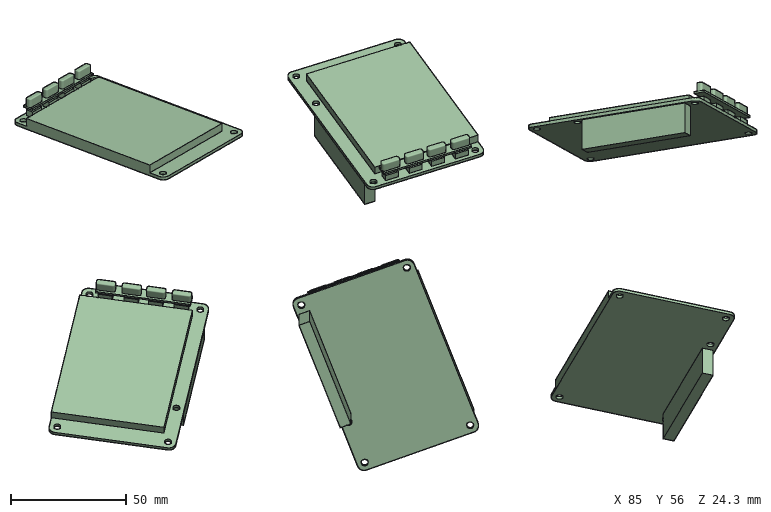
import cadquery as cq

board_length = 85.0
board_width = 56.0
board_thickness = 1.5
corner_radius = 3.0

hole_diameter = 3.0
hole_inset = 3.5
hole_pitch = 58.0

display_left = 7.9
display_length = 69.0
display_width = 49.8
display_top = 5.3

header_length = 50.8
header_width = 5.0
header_depth = 13.5
header_center_x = hole_inset + hole_pitch / 2
header_center_y = board_width - hole_inset

button_row_x = 3.5
button_outer_spacing = 11.4
button_middle_spacing = 10.8
button_row_center_y = 27.6
button_width = 3.5
button_length = 6.2
button_top = 4.4

overall_height = 24.3
cap_width = 3.0
cap_length = 8.5
cap_corner_radius = 1.0
cap_top_fillet = 0.5
cap_top = overall_height - header_depth
strip_width = 5.0
strip_bottom = 5.9
strip_thickness = 0.9
strip_top = strip_bottom + strip_thickness

inner_offset = button_middle_spacing / 2
outer_offset = inner_offset + button_outer_spacing
button_row = [
    (button_row_x, button_row_center_y + offset)
    for offset in (-outer_offset, -inner_offset, inner_offset, outer_offset)
]
strip_length = 2 * outer_offset + cap_length


def block(center, size_x, size_y, bottom, top):
    """Rectangular block centred on an XY point between two heights."""
    return (
        cq.Workplane("XY", origin=(*center, bottom))
        .rect(size_x, size_y)
        .extrude(top - bottom)
    )


def make_board():
    """Bare board with rounded corners."""
    center = (board_length / 2, board_width / 2)
    board = block(center, board_length, board_width, 0, board_thickness)
    return board.edges("|Z").fillet(corner_radius)


def make_mounting_holes():
    """Cutters for the four corner holes and the extra hole on the rear edge."""
    rear_y = board_width - hole_inset
    right_x = board_length - hole_inset
    hole_centers = [
        (hole_inset, hole_inset),
        (right_x, hole_inset),
        (hole_inset, rear_y),
        (hole_inset + hole_pitch, rear_y),
        (right_x, rear_y),
    ]
    return (
        cq.Workplane("XY")
        .pushPoints(hole_centers)
        .circle(hole_diameter / 2)
        .extrude(board_thickness)
    )


def make_display():
    center = (display_left + display_length / 2, display_width / 2)
    return block(center, display_length, display_width, board_thickness, display_top)


def make_header():
    center = (header_center_x, header_center_y)
    return block(center, header_length, header_width, -header_depth, 0)


def make_display_board():
    """Board with its display, header and buttons as one solid."""
    display_board = make_board().cut(make_mounting_holes())
    display_board = display_board.union(make_display()).union(make_header())
    for center in button_row:
        button = block(center, button_width, button_length, board_thickness, button_top)
        display_board = display_board.union(button)
    return display_board


def make_cap(center):
    """Key cap with rounded corners and a softened top rim."""
    cap = block(center, cap_width, cap_length, strip_top, cap_top)
    cap = cap.edges("|Z").fillet(cap_corner_radius)
    return cap.faces(">Z").edges().fillet(cap_top_fillet)


def make_keypad():
    """Strip carrying the four key caps as one solid."""
    strip_center = (button_row_x, button_row_center_y)
    keypad = block(strip_center, strip_width, strip_length, strip_bottom, strip_top)
    for center in button_row:
        keypad = keypad.union(make_cap(center))
    return keypad


display_board = make_display_board()
keypad = make_keypad()

result = cq.Compound.makeCompound([display_board.val(), keypad.val()])